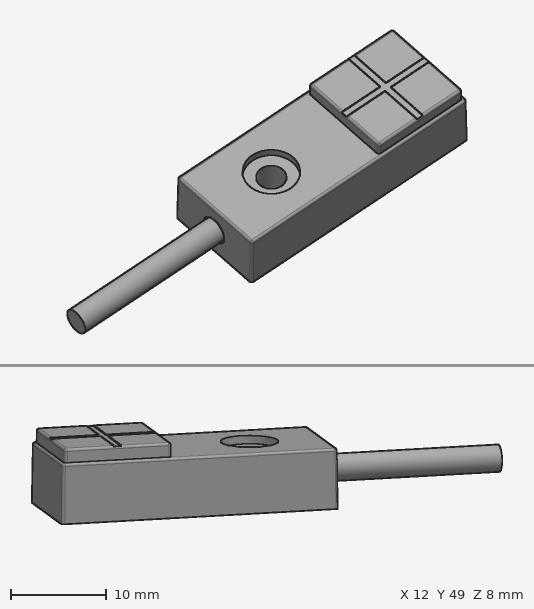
import cadquery as cq
TOTAL_LENGTH = 49.0
TOTAL_HEIGHT = 8.0

DRAFT_ANGLE = 0.8
EDGE_RADIUS = 0.3

BLOCK_WIDTH = 12.0
BLOCK_LENGTH = 30.0
BLOCK_HEIGHT = 6.45

PAD_WIDTH = 11.1
PAD_LENGTH = 11.6
PAD_SETBACK = 0.4
GROOVE_WIDTH = 0.8
GROOVE_DEPTH = 0.1

HOLE_SETBACK = 22.0
HOLE_DIAMETER = 3.2
COUNTERBORE_DIAMETER = 6.05
COUNTERBORE_DEPTH = 0.9

CABLE_DIAMETER = 2.9
RECESS_DIAMETER = 3.25
RECESS_DEPTH = 0.2
CABLE_HEIGHT = 3.2

REAR_Y = BLOCK_LENGTH
CABLE_TIP_Y = BLOCK_LENGTH - TOTAL_LENGTH
PAD_CENTER_Y = REAR_Y - PAD_SETBACK - PAD_LENGTH / 2
HOLE_Y = REAR_Y - HOLE_SETBACK


def rounded_slab(width, length, height):
    """Slab on Z = 0 with drafted sides and every edge rounded except those of its base."""
    slab = cq.Workplane("XY").rect(width, length).extrude(height, taper=DRAFT_ANGLE)
    return slab.edges("not <Z").fillet(EDGE_RADIUS)


def make_block():
    """Main block, with the foot of its cable end at Y = 0."""
    block = rounded_slab(BLOCK_WIDTH, BLOCK_LENGTH, BLOCK_HEIGHT)
    return block.translate((0, BLOCK_LENGTH / 2, 0))


def make_pad():
    """Raised pad with two shallow grooves crossing at its middle."""
    pad_height = TOTAL_HEIGHT - BLOCK_HEIGHT
    pad = rounded_slab(PAD_WIDTH, PAD_LENGTH, pad_height)
    for size_x, size_y in ((PAD_WIDTH, GROOVE_WIDTH), (GROOVE_WIDTH, PAD_LENGTH)):
        groove = cq.Workplane("XY", origin=(0, 0, pad_height - GROOVE_DEPTH))
        pad = pad.cut(groove.rect(size_x, size_y).extrude(GROOVE_DEPTH))
    return pad.translate((0, PAD_CENTER_Y, BLOCK_HEIGHT))


def cut_mounting_hole(body):
    """Counterbored hole through the full height of the block."""
    return (
        body.copyWorkplane(cq.Workplane("XY", origin=(0, HOLE_Y, BLOCK_HEIGHT)))
        .cboreHole(HOLE_DIAMETER, COUNTERBORE_DIAMETER, COUNTERBORE_DEPTH)
    )


def cylinder_along_y(diameter, start_y, end_y):
    """Cylinder on the cable axis between two Y positions."""
    base = cq.Workplane("XZ", origin=(0, end_y, CABLE_HEIGHT))
    return base.circle(diameter / 2).extrude(end_y - start_y)


body = make_block().union(make_pad())
body = cut_mounting_hole(body)
body = body.cut(cylinder_along_y(RECESS_DIAMETER, 0, RECESS_DEPTH))
result = body.union(cylinder_along_y(CABLE_DIAMETER, CABLE_TIP_Y, RECESS_DEPTH))